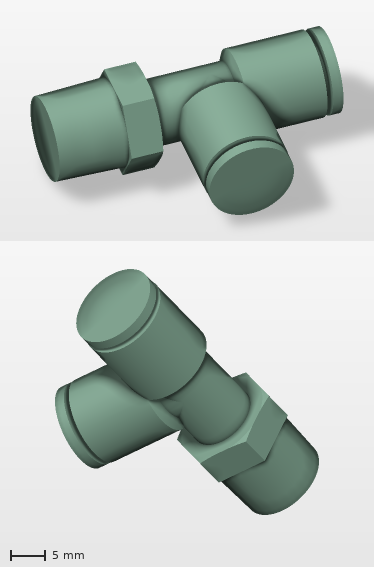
import cadquery as cq
import math

overall_length = 43.6
port_reach = 18.22

collar_diameter = 13.0
collar_thickness = 1.55
groove_diameter = 8.95
groove_width = 0.9
body_diameter = 13.15
body_start = 3.85
shoulder_length = 0.9
neck_diameter = 10.0

hex_across_flats = 14.0
hex_thickness = 5.1
hex_chamfer_diameter = 14.2
hex_chamfer_angle = 15.0
thread_length = 10.5
thread_root_diameter = 13.47
thread_end_diameter = 12.8

male_end_y = port_reach - overall_length
hex_outer_y = male_end_y + thread_length
hex_inner_y = hex_outer_y + hex_thickness
hex_across_corners = hex_across_flats / math.cos(math.radians(30))


def turned_along_y(profile):
    """Revolve (radius, y) profile points about the Y axis."""
    return cq.Workplane("XY").polyline(profile).close().revolve(360, (0, 0), (0, 1))


def make_port(neck_start):
    """Port pointing along +Y, with its neck starting at the given Y."""
    collar_inner = port_reach - collar_thickness
    body_end = collar_inner - groove_width
    return turned_along_y([
        (0, neck_start),
        (neck_diameter / 2, neck_start),
        (neck_diameter / 2, body_start - shoulder_length),
        (body_diameter / 2, body_start),
        (body_diameter / 2, body_end),
        (groove_diameter / 2, body_end),
        (groove_diameter / 2, collar_inner),
        (collar_diameter / 2, collar_inner),
        (collar_diameter / 2, port_reach),
        (0, port_reach),
    ])


def make_hexagon():
    """Hexagon with corners on X and its inner face chamfered conically."""
    prism = (
        cq.Workplane("XZ", origin=(0, hex_inner_y, 0))
        .polygon(6, hex_across_corners)
        .extrude(hex_thickness)
    )
    corner_radius = hex_across_corners / 2
    chamfer_radius = hex_chamfer_diameter / 2
    chamfer_drop = (corner_radius - chamfer_radius) * math.tan(math.radians(hex_chamfer_angle))
    envelope = turned_along_y([
        (0, hex_outer_y),
        (corner_radius, hex_outer_y),
        (corner_radius, hex_inner_y - chamfer_drop),
        (chamfer_radius, hex_inner_y),
        (0, hex_inner_y),
    ])
    return prism.intersect(envelope)


def make_thread():
    """Plain taper in place of the male thread."""
    return turned_along_y([
        (0, hex_outer_y),
        (thread_root_diameter / 2, hex_outer_y),
        (thread_end_diameter / 2, male_end_y),
        (0, male_end_y),
    ])


run_port = make_port(hex_inner_y)
branch_port = make_port(0).rotate((0, 0, 0), (0, 0, 1), -90)
result = run_port.union(branch_port).union(make_hexagon()).union(make_thread())